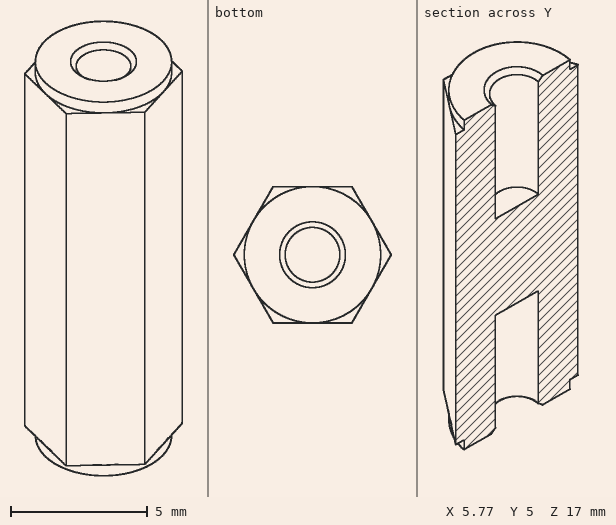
import cadquery as cq
import math

total_length = 17.0
across_flats = 5.0
collar_diameter = across_flats
collar_height = 0.5
hole_diameter = 2.0
hole_depth = 6.0
countersink_diameter = 2.41
countersink_angle = 90.0

across_corners = across_flats / math.cos(math.pi / 6)
hex_length = total_length - 2 * collar_height


def make_body():
    """Round core over the full length, joined to a hexagon between the collars."""
    core = cq.Workplane("XY").circle(collar_diameter / 2).extrude(total_length)
    hexagon = (
        cq.Workplane("XY")
        .workplane(offset=collar_height)
        .polygon(6, across_corners)
        .extrude(hex_length)
    )
    return core.union(hexagon)


def drill_end(body, end):
    """Countersunk, flat-bottomed blind hole in the end face picked by its selector."""
    return (
        body.faces(end)
        .workplane(centerOption="CenterOfBoundBox")
        .cskHole(hole_diameter, countersink_diameter, countersink_angle, depth=hole_depth)
    )


result = make_body()
for end_face in (">Z", "<Z"):
    result = drill_end(result, end_face)